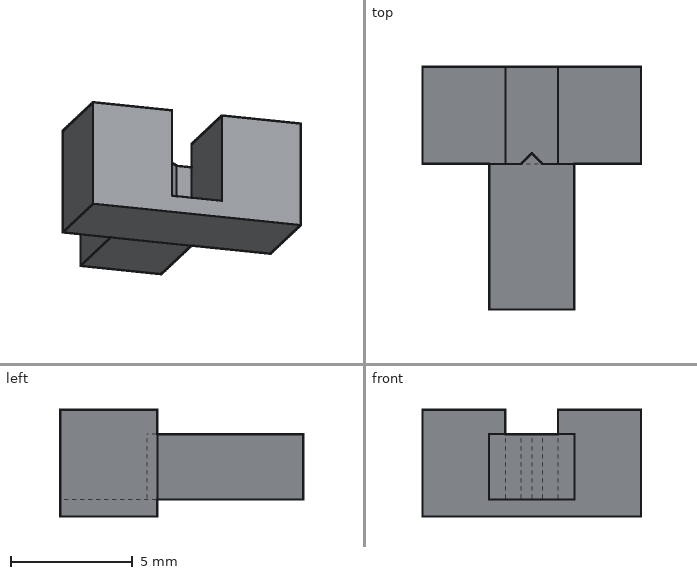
import cadquery as cq

block_width = 9.0
block_length = 4.0
block_height = 4.4
slot_width = 2.16

total_length = 10.0
tongue_width = 3.5
tongue_height = 2.7
tongue_bottom = 0.7
tongue_length = total_length - block_length

nose_reach = 0.44

slot_floor = tongue_bottom
slot_depth = block_height - slot_floor


def make_block():
    """Slotted block with its front face at Y = 0 and its base at Z = 0."""
    body = cq.Workplane("XY").box(
        block_width, block_length, block_height, centered=(True, False, False)
    )
    slot = (
        cq.Workplane("XY")
        .workplane(offset=slot_floor)
        .box(slot_width, block_length, slot_depth, centered=(True, False, False))
    )
    return body.cut(slot)


def make_tongue():
    """Rectangular bar whose inner end carries the pointed nose."""
    half_width = tongue_width / 2
    outline = [
        (-half_width, -tongue_length),
        (half_width, -tongue_length),
        (half_width, 0),
        (nose_reach, 0),
        (0, nose_reach),
        (-nose_reach, 0),
        (-half_width, 0),
    ]
    return (
        cq.Workplane("XY")
        .workplane(offset=tongue_bottom)
        .polyline(outline)
        .close()
        .extrude(tongue_height)
    )


result = make_block().union(make_tongue())